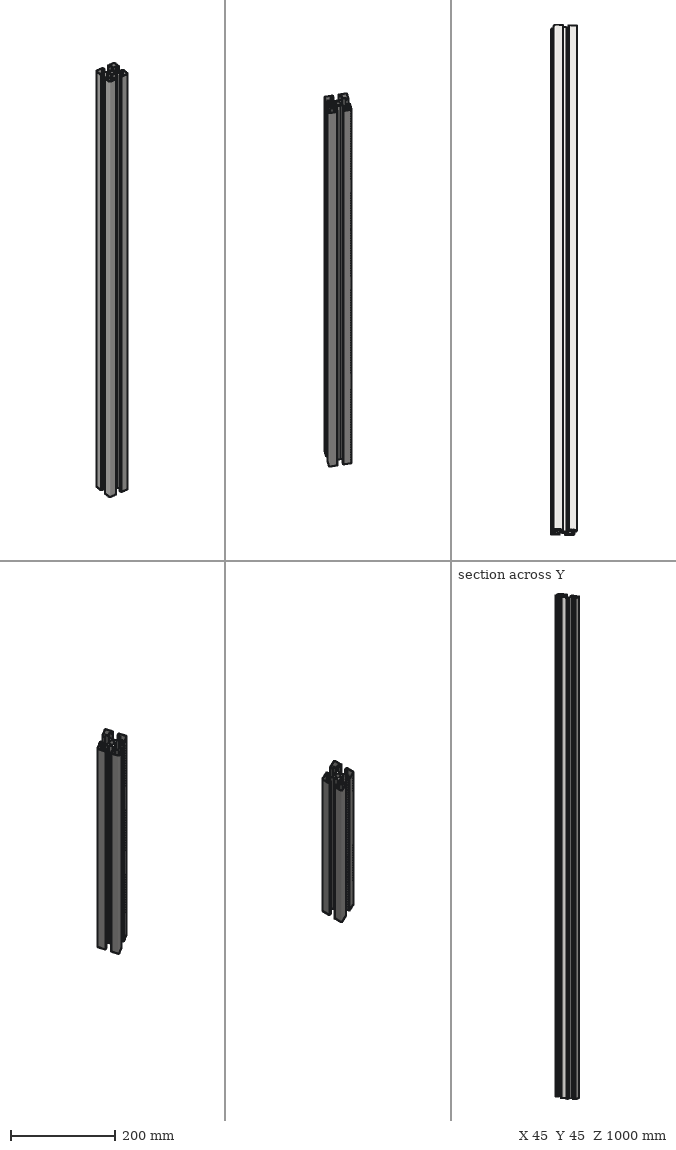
import cadquery as cq
import math

SIZE = 45.0
LENGTH = 1000.0
HALF = SIZE / 2
SIDES = 4
CORNER_RADIUS = 2.54

OPENING_HALF_WIDTH = 5.0
MOUTH_BEVEL_WIDTH = 1.1
MOUTH_BEVEL_DEPTH = 1.7
LIP_THICKNESS = 6.2
SLOT_HALF_WIDTH = 9.9
WEB_THICKNESS = 1.6

RIDGE_HEIGHT = 7.65
RIDGE_HALF_WIDTH = 0.5
RIDGE_SLOPE = 13.6
VALLEY_OFFSET = 3.2
RISE_SLOPE = 11.0
FLOOR_HALF_WIDTH = 6.3

CENTRE_HOLE_DIAMETER = 8.5

OUTER_WALL = 1.2
LIP_INNER_WALL = 1.1
SLOT_SIDE_WALL = 1.6
LIP_END_WALL = 1.5
HOLLOW_CORNER_RADIUS = 2.0
HOLLOW_END_RADIUS = 0.5


def turned(point, quarter_turns):
    """Turn a point clockwise about the centre by a number of quarter turns."""
    x, y = point
    for _ in range(quarter_turns):
        x, y = y, -x
    return x, y


def height_change(run, slope):
    """Height change over a horizontal run at a slope given in degrees."""
    return run * math.tan(math.radians(slope))


def round_edges(body, points, radius):
    """Fillet the lengthwise edges of a body that stand at the given points."""
    for x, y in points:
        at_point = cq.selectors.NearestToPointSelector((x, y, LENGTH / 2))
        body = body.edges("|Z").edges(at_point).fillet(radius)
    return body


def slot_right_half():
    """Right half of the +Y slot, from the ridge on its floor out to the outer face."""
    valley_height = RIDGE_HEIGHT - height_change(VALLEY_OFFSET - RIDGE_HALF_WIDTH, RIDGE_SLOPE)
    floor_end_height = valley_height + height_change(FLOOR_HALF_WIDTH - VALLEY_OFFSET, RISE_SLOPE)
    web_top = SLOT_HALF_WIDTH + WEB_THICKNESS / math.sqrt(2)
    lip_inner = HALF - LIP_THICKNESS
    return [
        (RIDGE_HALF_WIDTH, RIDGE_HEIGHT),
        (VALLEY_OFFSET, valley_height),
        (FLOOR_HALF_WIDTH, floor_end_height),
        (SLOT_HALF_WIDTH, web_top),
        (SLOT_HALF_WIDTH, lip_inner),
        (OPENING_HALF_WIDTH, lip_inner),
        (OPENING_HALF_WIDTH, HALF - MOUTH_BEVEL_DEPTH),
        (OPENING_HALF_WIDTH + MOUTH_BEVEL_WIDTH, HALF),
    ]


def slotted_bar():
    """The bar with its four slots and rounded outer corners."""
    right = slot_right_half()
    left = [(-x, y) for x, y in reversed(right)]
    side = left + right + [(HALF, HALF)]
    outline = [turned(point, turn) for turn in range(SIDES) for point in side]
    bar = cq.Workplane("XY").polyline(outline).close().extrude(LENGTH)
    corners = [turned((HALF, HALF), turn) for turn in range(SIDES)]
    return round_edges(bar, corners, CORNER_RADIUS)


def corner_hollow():
    """L-shaped hollow of the +X +Y corner, with a leg inside the lip of each adjoining slot."""
    outer = HALF - OUTER_WALL
    inner = SLOT_HALF_WIDTH + SLOT_SIDE_WALL
    leg_inner = HALF - LIP_THICKNESS + LIP_INNER_WALL
    leg_end = OPENING_HALF_WIDTH + LIP_END_WALL
    outline = [
        (inner, inner),
        (leg_inner, inner),
        (leg_inner, leg_end),
        (outer, leg_end),
        (outer, outer),
        (leg_end, outer),
        (leg_end, leg_inner),
        (inner, leg_inner),
    ]
    hollow = cq.Workplane("XY").polyline(outline).close().extrude(LENGTH)
    leg_ends = [(leg_inner, leg_end), (outer, leg_end), (leg_end, outer), (leg_end, leg_inner)]
    hollow = round_edges(hollow, [(outer, outer)], HOLLOW_CORNER_RADIUS)
    return round_edges(hollow, leg_ends, HOLLOW_END_RADIUS)


def centre_hole():
    """Round hole along the whole axis of the bar."""
    return cq.Workplane("XY").circle(CENTRE_HOLE_DIAMETER / 2).extrude(LENGTH)


result = slotted_bar().cut(centre_hole())
for turn_number in range(SIDES):
    angle = turn_number * 360 / SIDES
    result = result.cut(corner_hollow().rotate((0, 0, 0), (0, 0, 1), angle))